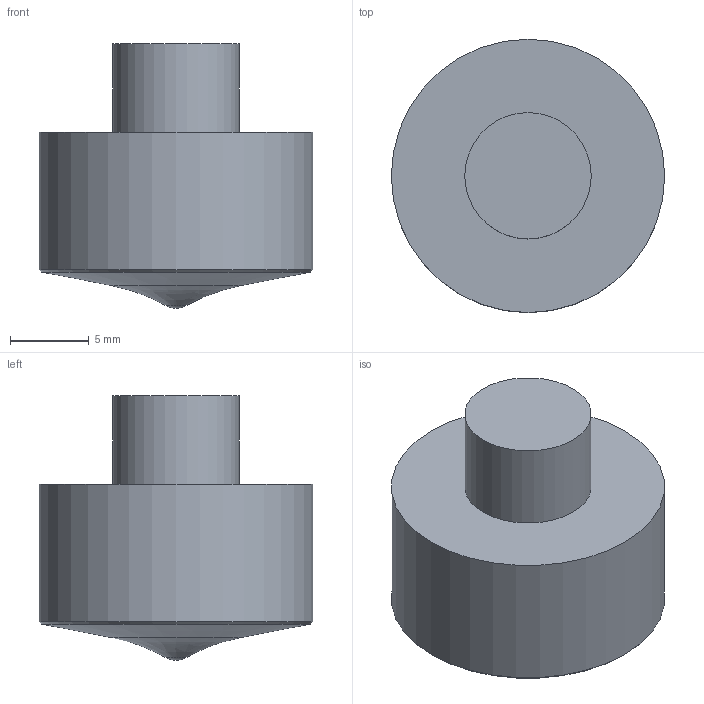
import cadquery as cq
import math

pin_diameter = 8.0
pin_height = 5.6
body_diameter = 17.3
body_height = 8.7
nose_depth = 2.44
rim_chamfer = 0.15
cone_angle = math.radians(11)
flank_angle = math.radians(29)
tip_radius = 1.3

pin_radius = pin_diameter / 2
body_radius = body_diameter / 2
rim_radius = body_radius - rim_chamfer


def point_on_tip(slope):
    """Point of the convex tip arc where the surface has the given slope."""
    return (
        tip_radius * math.sin(slope),
        -nose_depth + tip_radius * (1 - math.cos(slope)),
    )


tip_edge = point_on_tip(flank_angle)
cone_slope = math.tan(cone_angle)
cone_height_at_tip_edge = -rim_chamfer - (rim_radius - tip_edge[0]) * cone_slope
gap_below_cone = cone_height_at_tip_edge - tip_edge[1]
rise_per_radius = math.cos(cone_angle) - math.cos(flank_angle)
run_per_radius = math.sin(flank_angle) - math.sin(cone_angle)
flank_radius = gap_below_cone / (rise_per_radius - run_per_radius * cone_slope)


def point_on_flank(slope):
    """Point of the concave flank arc where the surface has the given slope."""
    return (
        tip_edge[0] + flank_radius * (math.sin(flank_angle) - math.sin(slope)),
        tip_edge[1] + flank_radius * (math.cos(slope) - math.cos(flank_angle)),
    )


def turned_part():
    """Revolve the half profile about Z; the straight side starts at Z = 0."""
    mid_flank_angle = (cone_angle + flank_angle) / 2
    top = body_height + pin_height
    profile = (
        cq.Workplane("XZ")
        .moveTo(0, -nose_depth)
        .threePointArc(point_on_tip(flank_angle / 2), tip_edge)
        .threePointArc(point_on_flank(mid_flank_angle), point_on_flank(cone_angle))
        .lineTo(rim_radius, -rim_chamfer)
        .lineTo(body_radius, 0)
        .lineTo(body_radius, body_height)
        .lineTo(pin_radius, body_height)
        .lineTo(pin_radius, top)
        .lineTo(0, top)
        .close()
    )
    return profile.revolve(360, (0, 0, 0), (0, 1, 0))


result = turned_part()